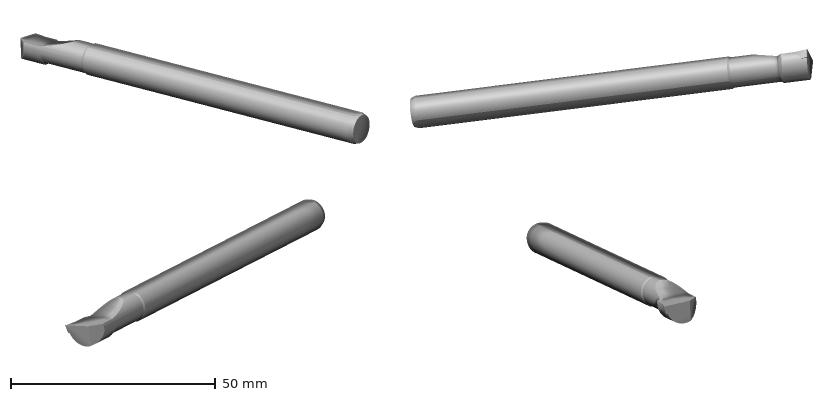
import cadquery as cq
import math


total_length = 100.0
shank_radius = 4.0
flat_depth = 0.35
flat_height = shank_radius - flat_depth
end_bevel_length = 1.2
end_bevel_depth = 0.4
step_height = 0.25
neck_radius = shank_radius - step_height
shank_start = 20.5
step_length = 0.5

head_radius = 4.4
head_center_y = 0.65
head_center_z = -0.15
head_end = 8.0
clearance_angle = 7.0
envelope_depth = 8.0
flank_length = 6.0
envelope_margin = 8.0
front_edge_length = 6.9

tip_y = 5.9
tip_z = 0.05
rake_angle = 9.0
rake_plane = cq.Plane(
    origin=(0, tip_y, tip_z),
    xDir=(1, 0, 0),
    normal=(0, math.sin(math.radians(rake_angle)), math.cos(math.radians(rake_angle))),
)

insert_side = 6.4
insert_thickness = 2.0
insert_height = insert_side * math.cos(math.radians(30))

nose_tip_offset = 0.15
nose_length = 3.6
nose_end_offset = 0.9

gullet_radius = 43.0
gullet_rim_radius = 9.5
gullet_rim_x = 7.8
gullet_center_offset = 5.8
clearing_size = 30.0


def make_insert_blank():
    """Triangular insert tapering downward from the rake plane."""
    outline = [(0, 0), (insert_height, -insert_side / 2), (0, -insert_side)]
    return (
        cq.Workplane(rake_plane).polyline(outline).close()
        .extrude(-insert_thickness, taper=clearance_angle)
    )


def make_shank():
    """Neck and shank turned about X, with parallel flats above and below."""
    profile = [
        (0, 0),
        (0, neck_radius),
        (shank_start - step_length, neck_radius),
        (shank_start, shank_radius),
        (total_length - end_bevel_length, shank_radius),
        (total_length, shank_radius - end_bevel_depth),
        (total_length, 0),
    ]
    turned = cq.Workplane("XY").polyline(profile).close().revolve(360, (0, 0), (1, 0))
    between_flats = cq.Workplane("XY").box(
        total_length, 2 * shank_radius, 2 * flat_height, centered=(False, True, True)
    )
    return turned.intersect(between_flats)


def make_head():
    """Eccentric round head with a conical back and the nose at the cutting tip."""
    blank = (
        cq.Workplane("YZ").center(head_center_y, head_center_z)
        .circle(head_radius).extrude(head_end)
    )
    back_cone_profile = [
        (0, 0),
        (0, neck_radius + head_end),
        (head_end, neck_radius),
        (head_end, 0),
    ]
    back_cone = cq.Workplane("XY").polyline(back_cone_profile).close().revolve(360, (0, 0), (1, 0))
    head = blank.intersect(back_cone)
    nose_outline = [
        (0, -nose_tip_offset),
        (nose_length, -nose_end_offset),
        (nose_length, -insert_side),
        (0, -insert_side),
    ]
    nose = (
        cq.Workplane(rake_plane).polyline(nose_outline).close()
        .extrude(-insert_thickness, taper=clearance_angle)
    )
    return head.union(nose)


def make_flank_envelope():
    """Relieved front flank and 45 degree corner flank, bounding the front of the bar."""
    far_x = shank_start
    corner_run = envelope_margin
    outline = [
        (0, envelope_margin),
        (0, -front_edge_length),
        (corner_run, -front_edge_length - corner_run),
        (far_x, -front_edge_length - corner_run),
        (far_x, envelope_margin),
    ]
    return (
        cq.Workplane(rake_plane).polyline(outline).close()
        .extrude(-envelope_depth, taper=clearance_angle)
    )


def make_chip_space():
    """Space above the rake plane, closed off behind by the spherical gullet."""
    above_rake = (
        cq.Workplane(rake_plane)
        .rect(2 * clearing_size, 2 * clearing_size).extrude(clearing_size)
    )
    rise = math.sqrt(gullet_radius**2 - gullet_rim_radius**2)
    center = rake_plane.toWorldCoords((gullet_rim_x - gullet_rim_radius, -gullet_center_offset, rise))
    gullet = cq.Workplane("XY").sphere(gullet_radius).translate(center)
    return above_rake.intersect(gullet)


insert = make_insert_blank()

bar = make_shank().union(make_head()).cut(make_chip_space())
front_zone = cq.Workplane("XY").box(
    flank_length, clearing_size, clearing_size, centered=(False, True, True)
)
bar = bar.cut(front_zone.cut(make_flank_envelope())).cut(insert)

result = cq.Compound.makeCompound([bar.val(), insert.val()])